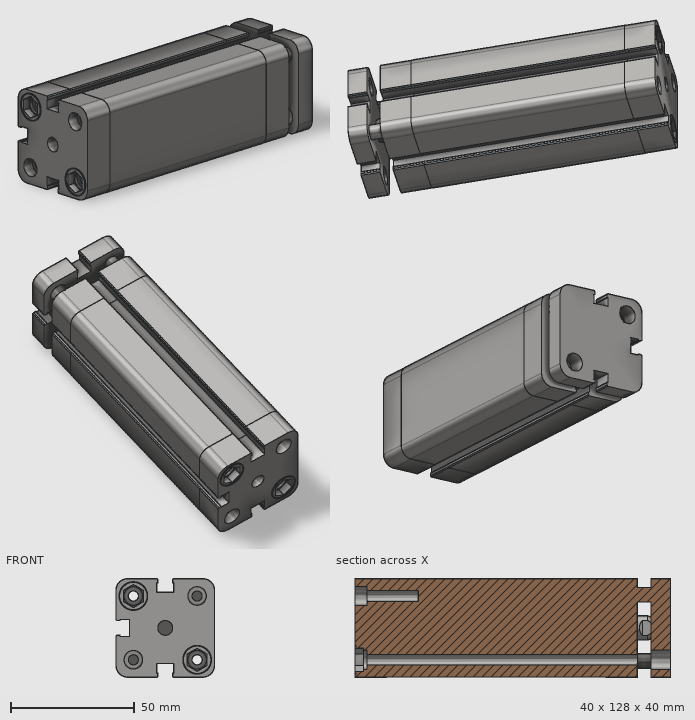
import cadquery as cq
import math

total_length = 128.0
width = 40.0
corner_radius = 5.0

plate_thickness = 8.0
rod_gap = 5.5
cap_length = 12.8
plate_start = total_length - plate_thickness
body_length = plate_start - rod_gap
tube_length = body_length - 2 * cap_length

tube_inset = 0.06
tube_width = width - 2 * tube_inset
tube_corner_radius = 4.6

slot_mouth_width = 5.9
slot_inner_width = 6.8
slot_lip = 1.7
slot_depth = 5.5
slot_bevel_width = 0.4
slot_bevel_depth = 0.5
slot_angles = (0, 180, -90)

rod_offset = 13.5
guide_rod_diameter = 6.0

hole_offset = 12.9
plate_hole_diameter = 7.5
corner_bore_diameter = 7.5
corner_bore_depth = 4.9
narrow_hole_diameter = 4.1
blind_hole_depth = 25.6
center_hole_diameter = 6.0
center_hole_depth = 10.2

hex_across_flats = 8.0
hex_depth = 3.5
ring_outer_diameter = 11.6
ring_inner_diameter = 11.1
ring_depth = 0.4

piston_rod_diameter = 10.0
taper_length = 1.4
taper_radial = 0.5
wrench_flat_width = 8.0
wrench_flat_length = 3.5
wrench_runout_length = 1.3


def rod_corners(offset):
    """The (x, z) points in the two opposite corners that carry the guide rods."""
    return [(offset, offset), (-offset, -offset)]


def section_plane(y):
    """Plane across the part at y: local x is -X, local y is Z, and the normal is +Y."""
    return cq.Workplane(cq.Plane(origin=(0, y, 0), xDir=(-1, 0, 0), normal=(0, 1, 0)))


def cylinders(centers, diameter, start, length):
    local_centers = [(-x, z) for x, z in centers]
    return section_plane(start).pushPoints(local_centers).circle(diameter / 2).extrude(length)


def slot_cutter(face, start, length):
    """T-slot opening at z = face."""
    half_mouth = slot_mouth_width / 2
    half_inner = slot_inner_width / 2
    half_opening = half_mouth + slot_bevel_width
    right_side = [
        (half_inner, face - slot_depth),
        (half_inner, face - slot_lip),
        (half_mouth, face - slot_lip),
        (half_mouth, face - slot_bevel_depth),
        (half_opening, face),
    ]
    left_side = [(-x, z) for x, z in reversed(right_side)]
    return section_plane(start).polyline(right_side + left_side).close().extrude(length)


def slotted_bar(size, radius, start, length):
    """Square bar with rounded corners and a slot on the top, bottom and -X sides."""
    bar = section_plane(start).rect(size, size).extrude(length).edges("|Y").fillet(radius)
    slot = slot_cutter(size / 2, start, length)
    for angle in slot_angles:
        bar = bar.cut(slot.rotate((0, 0, 0), (0, 1, 0), angle))
    return bar


def hexagon_socket(x, z):
    """Hexagonal recess at (x, z) with corners pointing up and down."""
    corner_distance = hex_across_flats / 2 / math.cos(math.pi / 6)
    angles = [math.radians(30 + 60 * i) for i in range(6)]
    corners = [(corner_distance * math.cos(a), corner_distance * math.sin(a)) for a in angles]
    return section_plane(0).polyline(corners).close().extrude(hex_depth).translate((x, 0, z))


def piston_rod():
    """Rod from the body to the plate, with wrench flats facing -X and +X."""
    radius = piston_rod_diameter / 2
    half_flat = wrench_flat_width / 2
    flat_start = plate_start - wrench_flat_length
    runout_start = flat_start - wrench_runout_length
    rod = cylinders([(0, 0)], piston_rod_diameter, body_length, rod_gap)
    rod = rod.faces(">Y").chamfer(taper_length, taper_radial)
    flatted_outline = [
        (-radius, body_length),
        (-radius, runout_start),
        (-half_flat, flat_start),
        (-half_flat, plate_start),
        (half_flat, plate_start),
        (half_flat, flat_start),
        (radius, runout_start),
        (radius, body_length),
    ]
    flatted_block = cq.Workplane("XY").polyline(flatted_outline).close().extrude(radius, both=True)
    return rod.intersect(flatted_block)


body = slotted_bar(tube_width, tube_corner_radius, cap_length, tube_length)
for cap_start in (0, body_length - cap_length):
    body = body.union(slotted_bar(width, corner_radius, cap_start, cap_length))

sockets = [(-hole_offset, hole_offset), (hole_offset, -hole_offset)]
blind_holes = rod_corners(hole_offset)
body = body.cut(cylinders(sockets + blind_holes, corner_bore_diameter, 0, corner_bore_depth))
body = body.cut(cylinders(sockets, narrow_hole_diameter, 0, body_length))
body = body.cut(cylinders(blind_holes, narrow_hole_diameter, 0, blind_hole_depth))
body = body.cut(cylinders([(0, 0)], center_hole_diameter, 0, center_hole_depth))

for socket_x, socket_z in sockets:
    body = body.cut(hexagon_socket(socket_x, socket_z))
ring_cores = cylinders(sockets, ring_inner_diameter, 0, ring_depth)
body = body.cut(cylinders(sockets, ring_outer_diameter, 0, ring_depth).cut(ring_cores))

plate = slotted_bar(width, corner_radius, plate_start, plate_thickness)
plate_holes = cylinders(sockets, plate_hole_diameter, plate_start, plate_thickness)
plate = plate.cut(plate_holes)

guide_rods = cylinders(rod_corners(rod_offset), guide_rod_diameter, body_length, rod_gap)
result = body.union(guide_rods).union(piston_rod()).union(plate)